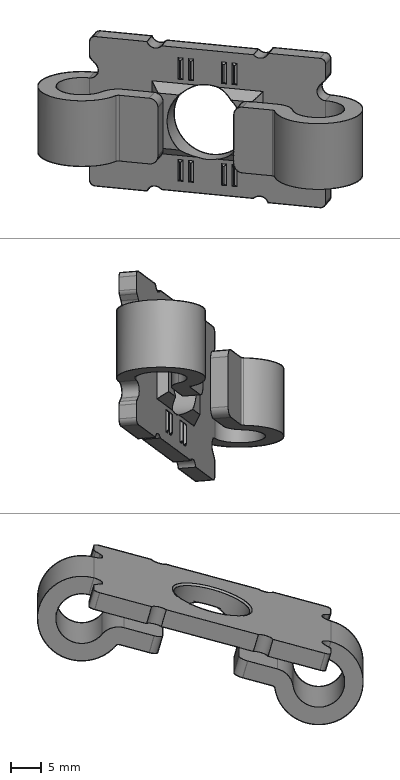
import cadquery as cq
import math

overall_length = 55.0
plate_height = 26.0
sheet = 3.0
hook_outer_diameter = 14.6
hook_outer_radius = hook_outer_diameter / 2
hook_inner_radius = hook_outer_radius - sheet
hook_x = overall_length / 2 - hook_outer_radius
strap_width = 11.45

plate_length = 2 * hook_x
plate_back_y = hook_outer_radius
plate_front_y = plate_back_y - sheet
corner_radius = 1.0
edge_recess_depth = 0.5
notch_radius = 1.5
edge_notch_x = 8.95
edge_notch_depth = 1.0
side_notch_z = strap_width / 2 + notch_radius

tongue_tip_x = 6.5
tongue_front_y = -2.65
tongue_back_y = tongue_front_y + sheet
tongue_corner_radius = 1.5
bend_inner_radius = 0.5
bend_outer_radius = bend_inner_radius + sheet

pad_length = 19.05
pad_width = 12.55
pad_height = 1.5
hole_diameter = 13.0
hole_rear_chamfer = 0.35

rib_width = 0.9
rib_length = 3.75
rib_height = 0.35
rib_x_places = (2.8, 4.6)
rib_z = 8.85

slope_angle = 45.0


def along_y(y_start):
    """Sketch plane facing -Y, with local X along +X and local Y along +Z."""
    return cq.Workplane("XZ", origin=(0, y_start, 0))


def make_plate():
    half_length = plate_length / 2
    half_height = plate_height / 2
    plate = along_y(plate_back_y).rect(plate_length, plate_height).extrude(sheet)

    recess_length = 2 * edge_notch_x
    edge_recess = along_y(plate_back_y).pushPoints([(0, half_height), (0, -half_height)])
    plate = plate.cut(edge_recess.rect(recess_length, 2 * edge_recess_depth).extrude(sheet))

    notch_z = half_height - edge_notch_depth + notch_radius
    edge_notches = along_y(plate_back_y).rect(2 * edge_notch_x, 2 * notch_z, forConstruction=True)
    plate = plate.cut(edge_notches.vertices().circle(notch_radius).extrude(sheet))

    tangent_offset = notch_radius / math.sqrt(2)
    for x_side in (-1, 1):
        for z_side in (-1, 1):
            edge_x = x_side * half_length
            centre_z = z_side * side_notch_z
            flank = [
                (edge_x, centre_z),
                (edge_x - x_side * tangent_offset, centre_z + z_side * tangent_offset),
                (edge_x, centre_z + z_side * 2 * tangent_offset),
            ]
            plate = plate.cut(along_y(plate_back_y).polyline(flank).close().extrude(sheet))
            circle = along_y(plate_back_y).center(edge_x, centre_z).circle(notch_radius)
            plate = plate.cut(circle.extrude(sheet))

    lug_end_zs = (half_height, side_notch_z + 2 * tangent_offset)
    lug_corners = cq.Workplane()
    for x_side in (-1, 1):
        for z_side in (-1, 1):
            for end_z in lug_end_zs:
                corner = (x_side * half_length, plate_back_y - sheet / 2, z_side * end_z)
                lug_corners = lug_corners.add(plate.edges(cq.NearestToPointSelector(corner)))
    return plate.newObject(lug_corners.vals()).fillet(corner_radius)


def make_hook():
    """Right-hand hook: round loop, reverse bend and tongue."""
    bend_y = tongue_front_y - bend_inner_radius
    bend_distance = hook_outer_radius + bend_inner_radius
    bend_angle = math.asin(-bend_y / bend_distance)
    bend_x = hook_x - bend_distance * math.cos(bend_angle)
    bend_middle_angle = (bend_angle + math.pi / 2) / 2

    def on_loop(radius, angle):
        return (hook_x + radius * math.cos(angle), radius * math.sin(angle))

    def on_bend(radius, angle):
        return (bend_x + radius * math.cos(angle), bend_y + radius * math.sin(angle))

    loop_end_angle = math.pi + bend_angle
    hook = (
        cq.Workplane("XY")
        .workplane(offset=-strap_width / 2)
        .moveTo(hook_x, plate_back_y)
        .threePointArc(on_loop(hook_outer_radius, 0), on_loop(hook_outer_radius, loop_end_angle))
        .threePointArc(on_bend(bend_inner_radius, bend_middle_angle), (bend_x, tongue_front_y))
        .lineTo(tongue_tip_x, tongue_front_y)
        .lineTo(tongue_tip_x, tongue_back_y)
        .lineTo(bend_x, tongue_back_y)
        .threePointArc(
            on_bend(bend_outer_radius, bend_middle_angle), on_bend(bend_outer_radius, bend_angle)
        )
        .threePointArc(on_loop(hook_inner_radius, 0), (hook_x, plate_front_y))
        .close()
        .extrude(strap_width)
    )
    return hook.faces("<X").edges("|Y").fillet(tongue_corner_radius)


def raised_block(x, z, length, width, height):
    """Block on the plate's front face with sides sloping inwards."""
    block = along_y(plate_front_y).center(x, z).rect(length, width)
    return block.extrude(height, taper=slope_angle)


plate = make_plate()
right_hook = make_hook()
left_hook = right_hook.mirror("YZ")
clip = plate.union(right_hook).union(left_hook)

clip = clip.union(raised_block(0, 0, pad_length, pad_width, pad_height))
for rib_x in rib_x_places:
    for x_side in (-1, 1):
        for z_side in (-1, 1):
            rib = raised_block(x_side * rib_x, z_side * rib_z, rib_width, rib_length, rib_height)
            clip = clip.union(rib)

hole = along_y(plate_back_y).circle(hole_diameter / 2).extrude(sheet + pad_height)
clip = clip.cut(hole)
rear_hole_edge = cq.NearestToPointSelector((0, plate_back_y, 0))
result = clip.faces(">Y").edges("%CIRCLE").edges(rear_hole_edge).chamfer(hole_rear_chamfer)